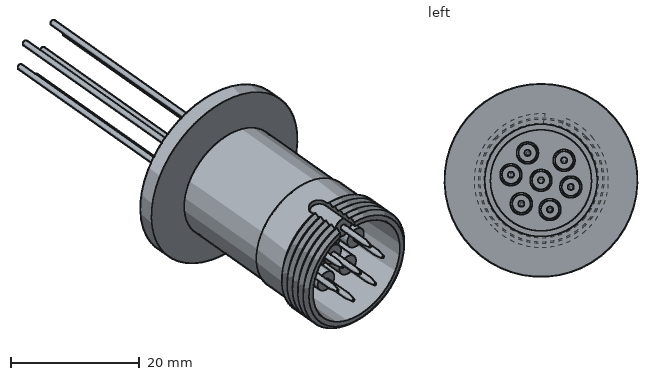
import cadquery as cq
import math


FLANGE_RADIUS = 14.985
FLANGE_RIM_THICKNESS = 2.67
FLANGE_TAPER_ANGLE = 15.0
FLANGE_BORE_RADIUS = 8.72
FLANGE_BORE_DEPTH = FLANGE_RIM_THICKNESS

TUBE_RADIUS = 9.525
INNER_RADIUS = 7.85
SHELL_START = 21.5
SHELL_RADIUS = 9.75
SHELL_BORE_RADIUS = 8.9
SHELL_END = 34.0

THREAD_RIDGES = 5
THREAD_PITCH = 1.27
THREAD_START = SHELL_END - THREAD_RIDGES * THREAD_PITCH
THREAD_CREST_RADIUS = 10.4

CLOCK_ANGLE = 11.5
SLOT_WIDTH = 2.95
SLOT_BOTTOM = 25.65

HEADER_THICKNESS = 3.5
HEADER_END = SHELL_START
HEADER_START = HEADER_END - HEADER_THICKNESS

PIN_RADIUS = 0.48
PIN_LENGTH = 75.44
PIN_END = 34.9
PIN_START = PIN_END - PIN_LENGTH
PIN_NOSE_LENGTH = 1.5
PIN_TIP_RADIUS = 0.22
PIN_CIRCLE_RADIUS = 4.74
PIN_ANGLES_FROM_SLOT = (37.6, 91.0, 151.4)
BUSHING_RADIUS = 1.7
BUSHING_END = 28.4
COLLAR_HEIGHT = 0.5
COLLAR_TIP_RADIUS = 1.4


def turned(profile):
    """Solid of revolution about X from a list of (x, radius) points."""
    return cq.Workplane("XZ").polyline(profile).close().revolve(360, (0, 0, 0), (1, 0, 0))


def rod(start, end, radius):
    """Solid cylinder along the X axis."""
    return cq.Workplane("YZ", origin=(start, 0, 0)).circle(radius).extrude(end - start)


def make_body():
    """Flange, tube and shell as one hollow turned piece."""
    taper_length = (FLANGE_RADIUS - TUBE_RADIUS) * math.tan(math.radians(FLANGE_TAPER_ANGLE))
    return turned([
        (0, FLANGE_BORE_RADIUS),
        (0, FLANGE_RADIUS),
        (FLANGE_RIM_THICKNESS, FLANGE_RADIUS),
        (FLANGE_RIM_THICKNESS + taper_length, TUBE_RADIUS),
        (SHELL_START, TUBE_RADIUS),
        (SHELL_START, SHELL_RADIUS),
        (SHELL_END, SHELL_RADIUS),
        (SHELL_END, SHELL_BORE_RADIUS),
        (SHELL_START, SHELL_BORE_RADIUS),
        (SHELL_START, INNER_RADIUS),
        (FLANGE_BORE_DEPTH, INNER_RADIUS),
        (FLANGE_BORE_DEPTH, FLANGE_BORE_RADIUS),
    ])


def make_thread_ridge(start):
    """One ring with a triangular section, rooted inside the shell wall."""
    root_radius = (SHELL_BORE_RADIUS + SHELL_RADIUS) / 2
    return turned([
        (start, root_radius),
        (start, SHELL_RADIUS),
        (start + THREAD_PITCH / 2, THREAD_CREST_RADIUS),
        (start + THREAD_PITCH, SHELL_RADIUS),
        (start + THREAD_PITCH, root_radius),
    ])


def make_slot_cutter():
    """Round-bottomed slot through the shell wall at the clock angle."""
    round_centre = SLOT_BOTTOM + SLOT_WIDTH / 2
    half_width = SLOT_WIDTH / 2
    return (
        cq.Workplane("XY")
        .moveTo(SHELL_END, -half_width)
        .lineTo(round_centre, -half_width)
        .threePointArc((SLOT_BOTTOM, 0), (round_centre, half_width))
        .lineTo(SHELL_END, half_width)
        .close()
        .extrude(THREAD_CREST_RADIUS)
        .rotate((0, 0, 0), (1, 0, 0), CLOCK_ANGLE)
    )


def make_header():
    """Plate that closes the tube behind the shell."""
    overlap_radius = (INNER_RADIUS + TUBE_RADIUS) / 2
    return rod(HEADER_START, HEADER_END, overlap_radius)


def make_conductor():
    """Pin with a tapered nose, its bushing and the conical collar behind the header."""
    return turned([
        (PIN_START, 0),
        (PIN_START, PIN_RADIUS),
        (HEADER_START - COLLAR_HEIGHT, PIN_RADIUS),
        (HEADER_START - COLLAR_HEIGHT, COLLAR_TIP_RADIUS),
        (HEADER_START, BUSHING_RADIUS),
        (BUSHING_END, BUSHING_RADIUS),
        (BUSHING_END, PIN_RADIUS),
        (PIN_END - PIN_NOSE_LENGTH, PIN_RADIUS),
        (PIN_END, PIN_TIP_RADIUS),
        (PIN_END, 0),
    ])


def pin_positions():
    """(y, z) of the centre pin and of the pairs mirrored about the slot."""
    positions = [(0, 0)]
    for offset in PIN_ANGLES_FROM_SLOT:
        for side in (-1, 1):
            angle = math.radians(CLOCK_ANGLE + side * offset)
            positions.append((-PIN_CIRCLE_RADIUS * math.sin(angle), PIN_CIRCLE_RADIUS * math.cos(angle)))
    return positions


result = make_body()
for ridge in range(THREAD_RIDGES):
    result = result.union(make_thread_ridge(THREAD_START + ridge * THREAD_PITCH))
result = result.cut(make_slot_cutter())
result = result.union(make_header())
for y, z in pin_positions():
    result = result.union(make_conductor().translate((0, y, z)))